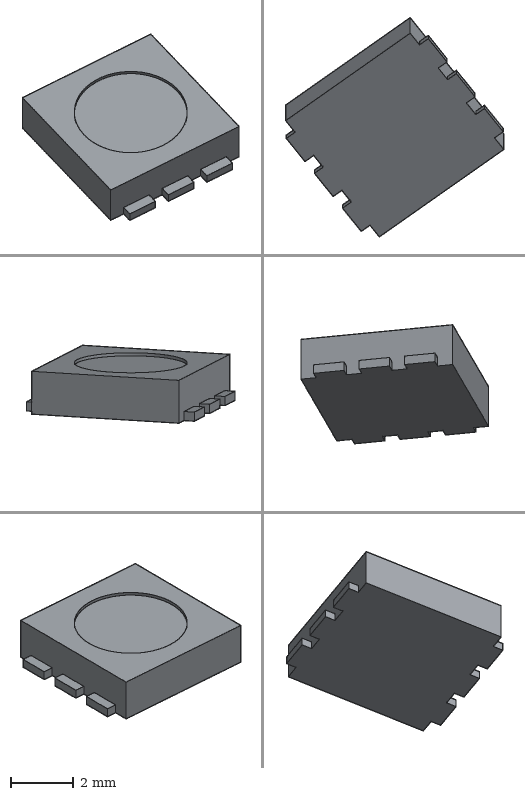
import cadquery as cq

body_side = 5.0
body_height = 1.4
overall_length = 5.7

window_diameter = 3.62
window_depth = 0.1

leads_per_side = 3
lead_width = 1.0
lead_height = 0.3
lead_pitch = 1.5


def make_body():
    """Square block standing on Z = 0, centred on the Z axis."""
    return cq.Workplane("XY").box(body_side, body_side, body_height, centered=(True, True, False))


def cut_window(body):
    """Sink the round window into the top face."""
    return body.faces(">Z").workplane().circle(window_diameter / 2).cutBlind(-window_depth)


def add_leads(body):
    """Add bars across the full length; each one's ends form a pair of opposite leads."""
    for index in range(leads_per_side):
        lead_y = (index - (leads_per_side - 1) / 2) * lead_pitch
        bar = cq.Workplane("XY").box(
            overall_length, lead_width, lead_height, centered=(True, True, False)
        )
        body = body.union(bar.translate((0, lead_y, 0)))
    return body


result = add_leads(cut_window(make_body()))